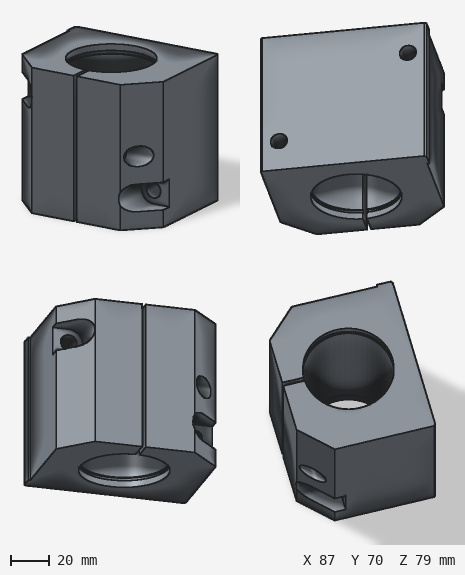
import cadquery as cq

width = 87.0
depth = 70.0
height = 79.0
front_chamfer = 16.1
back_chamfer = 1.0
lip_width = 1.05
lip_length = 8.3

bore_diameter = 47.0
bore_from_front = 35.0
slit_width = 2.0
groove_diameter = 49.15
groove_width = 1.8
groove_inset = 3.65

screw_from_side = 9.7
screw_from_end = 17.0
screw_hole_diameter = 8.6
screw_pocket_diameter = 15.0
screw_pocket_depth = 21.9

clamp_diameter = 11.1
clamp_from_front = 6.9
clamp_depth = 20.0

left = -width / 2
right = width / 2
front = -depth / 2
back = depth / 2
bottom = -height / 2
bore_y = front + bore_from_front


def make_block():
    body_left = left + lip_width
    outline = [
        (body_left + front_chamfer, front),
        (right - front_chamfer, front),
        (right, front + front_chamfer),
        (right, back - back_chamfer),
        (right - back_chamfer, back),
        (left + back_chamfer, back),
        (left, back - back_chamfer),
        (left, back - lip_length),
        (body_left, back - lip_length),
        (body_left, front + front_chamfer),
    ]
    return cq.Workplane("XY").workplane(offset=bottom).polyline(outline).close().extrude(height)


def make_disc(diameter, base_z, length):
    """Upright cylinder on the bore axis."""
    return cq.Workplane("XY", origin=(0, bore_y, base_z)).circle(diameter / 2).extrude(length)


def make_clamping_bore():
    slit = cq.Workplane("XY").box(slit_width, bore_from_front, height).translate(
        (0, front + bore_from_front / 2, 0)
    )
    cutter = make_disc(bore_diameter, bottom, height).union(slit)
    lower_groove_z = bottom + groove_inset
    upper_groove_z = -lower_groove_z - groove_width
    for groove_z in (lower_groove_z, upper_groove_z):
        cutter = cutter.union(make_disc(groove_diameter, groove_z, groove_width))
    return cutter


def make_screw_seat(side):
    """Through hole and head pocket open to the side; side is -1 for left, 1 for right."""
    x = side * (right - screw_from_side)
    z = -side * (height / 2 - screw_from_end)
    plane = cq.Workplane("XZ", origin=(x, front, z))
    hole = plane.circle(screw_hole_diameter / 2).extrude(-depth)
    round_end = plane.circle(screw_pocket_diameter / 2).extrude(-screw_pocket_depth)
    open_end = (
        plane.center(side * screw_from_side / 2, 0)
        .rect(screw_from_side, screw_pocket_diameter)
        .extrude(-screw_pocket_depth)
    )
    return hole.union(round_end).union(open_end)


def make_clamp_recess():
    start = (right - clamp_depth, front + clamp_from_front, 0)
    return cq.Workplane("YZ", origin=start).circle(clamp_diameter / 2).extrude(clamp_depth)


result = make_block().cut(make_clamping_bore())
for side in (-1, 1):
    result = result.cut(make_screw_seat(side))
result = result.cut(make_clamp_recess())